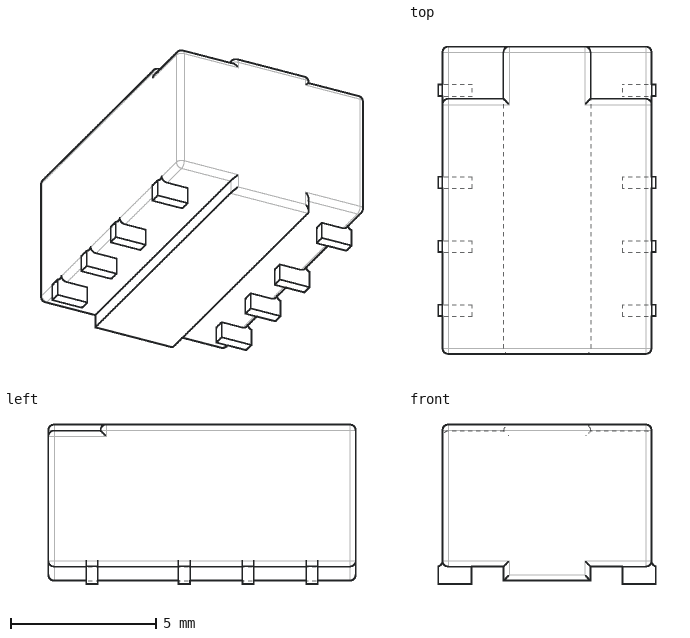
import cadquery as cq
import math

housing_width = 7.21
housing_length = 10.6
housing_bottom = 0.6
total_height = 5.5
edge_radius = 0.2

spine_width = 3.0
keel_bottom = 0.12

notch_length = 1.8
notch_depth = 0.21

terminal_span = 7.5
terminal_thickness = 0.4
terminal_foot_length = 1.16
end_terminal_y = 3.8
terminal_pitch = 2.2
terminal_ys = [
    -end_terminal_y,
    -end_terminal_y + terminal_pitch,
    -end_terminal_y + 2 * terminal_pitch,
    end_terminal_y,
]


def block(width, length, bottom, top):
    """Box centred on X, starting at the -Y end of the housing."""
    return (
        cq.Workplane("XY")
        .box(width, length, top - bottom, centered=(True, False, False))
        .translate((0, -housing_length / 2, bottom))
    )


def make_housing():
    """Three overlapping blocks with rounded edges; they meet in sharp inner corners."""
    lower = block(housing_width, housing_length, housing_bottom, total_height - notch_depth)
    upper = block(housing_width, housing_length - notch_length, housing_bottom, total_height)
    spine = block(spine_width, housing_length, keel_bottom, total_height)

    lower = lower.edges().fillet(edge_radius)
    upper = upper.edges().fillet(edge_radius)
    spine = spine.edges("|Z or |X or (|Y and >Z)").fillet(edge_radius)
    return lower.union(upper).union(spine)


def make_terminal(y_centre):
    """Foot on the +X side, with a concave shoulder blending into the housing side."""
    outer_x = terminal_span / 2
    inner_x = outer_x - terminal_foot_length
    side_x = housing_width / 2
    shoulder_top = housing_bottom + edge_radius

    arc_centre_x = side_x + edge_radius
    end_angle = math.acos((arc_centre_x - outer_x) / edge_radius)

    def shoulder_point(angle):
        return (
            arc_centre_x - edge_radius * math.cos(angle),
            shoulder_top - edge_radius * math.sin(angle),
        )

    return (
        cq.Workplane("XZ", origin=(0, y_centre + terminal_thickness / 2, 0))
        .moveTo(inner_x, 0)
        .lineTo(outer_x, 0)
        .lineTo(*shoulder_point(end_angle))
        .threePointArc(shoulder_point(end_angle / 2), shoulder_point(0))
        .lineTo(inner_x, shoulder_top)
        .close()
        .extrude(terminal_thickness)
    )


result = make_housing()
for y_centre in terminal_ys:
    terminal = make_terminal(y_centre)
    result = result.union(terminal).union(terminal.mirror("YZ"))